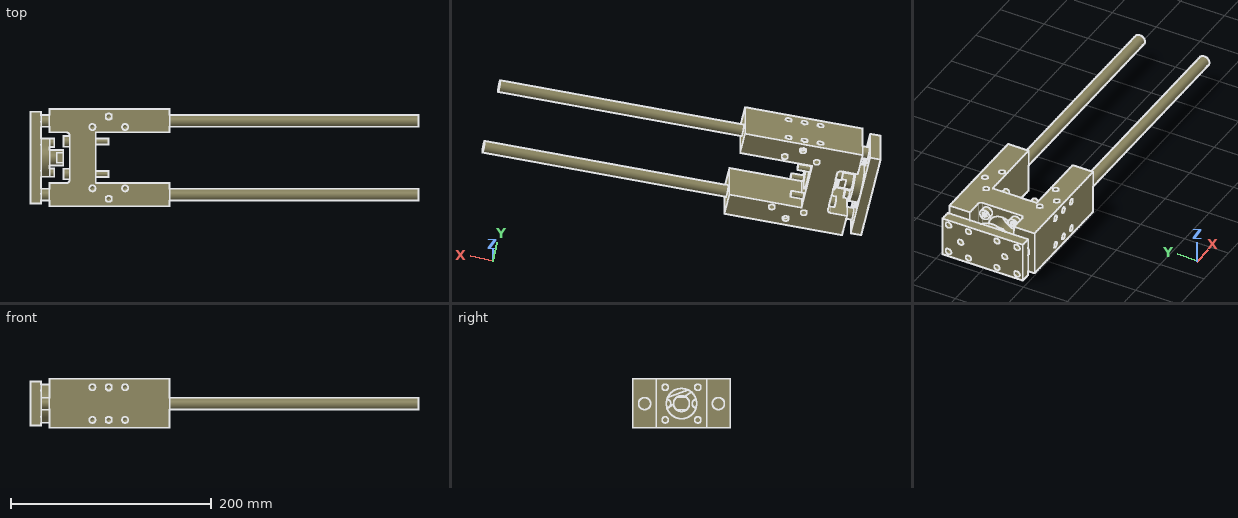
import cadquery as cq
import math


total_length = 387.0
plate_thickness = 11.0
plate_width = 91.7
plate_height = 44.0
rod_diameter = 12.0
rod_offset = 36.8
corner_hole_diameter = 6.5
corner_hole_offset = 39.0
access_hole_diameter = 6.0
pin_hole_diameter = 6.0
pin_hole_offset = 25.0

flange_diameter = 38.5
flange_thickness = 8.5
flange_screw_diameter = 8.5
flange_screw_height = 4.5
flange_screw_offset = (flange_diameter - flange_screw_diameter) / 2
stud_diameter = 16.0
stud_length = 13.5
stud_across_flats = 12.5
stud_flat_length = 6.5

housing_start = 19.0
housing_length = 120.0
housing_width = 97.0
housing_height = 49.0
housing_rise = 0.5
arm_gap = 50.5
web_start = 39.0
web_end = 65.5
notch_fillet = 3.0
web_bore_diameter = 30.0

square_half = 16.3
screw_head_diameter = 11.0
screw_head_height = 6.0
screw_diameter = 6.0
screw_projection = 12.8
socket_across_flats = 5.0
socket_depth = 3.0

tapped_hole_diameter = 6.0
tapped_hole_depth = 12.0
drill_point_angle = 118.0
hole_group_x = 78.0
inner_hole_y = 30.5
outer_hole_y = 41.0

signs = (-1, 1)
housing_end = housing_start + housing_length
web_thickness = web_end - web_start
square_pattern = [(sy * square_half, sz * square_half) for sy in signs for sz in signs]
rod_points = [(side * rod_offset, 0) for side in signs]


def cylinders_along_x(points, diameter, start, length):
    """Cylinders parallel to X, one at each (y, z) point."""
    plane = cq.Workplane("YZ", origin=(start, 0, 0))
    return plane.pushPoints(points).circle(diameter / 2).extrude(length)


def blind_hole(entry, direction):
    """Drilled hole with a conical tip, as a cutting solid."""
    radius = tapped_hole_diameter / 2
    tip = radius / math.tan(math.radians(drill_point_angle / 2))
    axis = cq.Vector(*direction)
    bore = cq.Solid.makeCylinder(radius, tapped_hole_depth, cq.Vector(*entry), axis)
    cone_base = cq.Vector(*entry) + axis * tapped_hole_depth
    point = cq.Solid.makeCone(radius, 0, tip, cone_base, axis)
    return cq.Workplane(bore).union(cq.Workplane(point))


def make_plate():
    """Rectangular plate with corner, screw access and pin holes through it."""
    plate = cq.Workplane("XY").box(
        plate_thickness, plate_width, plate_height, centered=(False, True, True)
    )
    corner_points = [(sy * corner_hole_offset, sz * square_half) for sy in signs for sz in signs]
    pin_points = [(side * pin_hole_offset, 0) for side in signs]
    for points, diameter in (
        (corner_points, corner_hole_diameter),
        (square_pattern, access_hole_diameter),
        (pin_points, pin_hole_diameter),
    ):
        plate = plate.cut(cylinders_along_x(points, diameter, 0, plate_thickness))
    return plate


def make_coupling():
    """Flange with two screw heads and a stud with two wrench flats."""
    flange_end = plate_thickness + flange_thickness
    flange = cylinders_along_x([(0, 0)], flange_diameter, plate_thickness, flange_thickness)
    screw_points = [(side * flange_screw_offset, 0) for side in signs]
    heads = cylinders_along_x(screw_points, flange_screw_diameter, flange_end, flange_screw_height)
    stud = cylinders_along_x([(0, 0)], stud_diameter, flange_end, stud_length)
    flat_start = flange_end + stud_length - stud_flat_length
    for side in signs:
        outside_flat = cq.Workplane("XY").box(
            stud_flat_length, stud_diameter, stud_diameter, centered=(False, True, True)
        ).translate((flat_start, 0, side * (stud_across_flats + stud_diameter) / 2))
        stud = stud.cut(outside_flat)
    return flange.union(heads).union(stud)


def make_slide():
    """Plate, coupling and both guide rods as one solid."""
    rods = cylinders_along_x(rod_points, rod_diameter, plate_thickness, total_length - plate_thickness)
    return make_plate().union(make_coupling()).union(rods)


def housing_box(start, end, width):
    """Box over the full housing height between two X positions."""
    box = cq.Workplane("XY").box(end - start, width, housing_height, centered=(False, True, True))
    return box.translate((start, 0, housing_rise))


def make_block():
    """H-shaped block with a bore through the web and a bore for each rod."""
    block = housing_box(housing_start, housing_end, housing_width)
    front_notch = housing_box(housing_start, web_start, arm_gap).edges("|Z and >X").fillet(notch_fillet)
    rear_notch = housing_box(web_end, housing_end, arm_gap)
    block = block.cut(front_notch).cut(rear_notch)
    block = block.cut(cylinders_along_x([(0, 0)], web_bore_diameter, web_start, web_thickness))
    return block.cut(cylinders_along_x(rod_points, rod_diameter, housing_start, housing_length))


def cut_tapped_holes(block):
    """Triangular groups on the top and bottom faces, two rows of three on each side face."""
    group = (
        (-square_half, inner_hole_y),
        (0, outer_hole_y),
        (square_half, inner_hole_y),
    )
    for side in signs:
        for dx, hole_y in group:
            x = hole_group_x + dx
            for face in signs:
                face_z = housing_rise + face * housing_height / 2
                block = block.cut(blind_hole((x, side * hole_y, face_z), (0, 0, -face)))
                side_entry = (x, side * housing_width / 2, face * square_half)
                block = block.cut(blind_hole(side_entry, (0, -side, 0)))
    return block


def add_screws(block):
    """Four socket-head screws through the web."""
    head_start = web_start - screw_head_height
    heads = cylinders_along_x(square_pattern, screw_head_diameter, head_start, screw_head_height)
    sockets = (
        cq.Workplane("YZ", origin=(head_start, 0, 0))
        .pushPoints(square_pattern)
        .polygon(6, socket_across_flats, circumscribed=True)
        .extrude(socket_depth)
    )
    ends = cylinders_along_x(square_pattern, screw_diameter, web_end, screw_projection)
    return block.union(heads.cut(sockets)).union(ends)


def make_housing():
    """Block with its tapped holes and web screws as one solid."""
    return add_screws(cut_tapped_holes(make_block()))


slide = make_slide()
housing = make_housing()
result = cq.Compound.makeCompound([slide.solids().val(), housing.solids().val()])